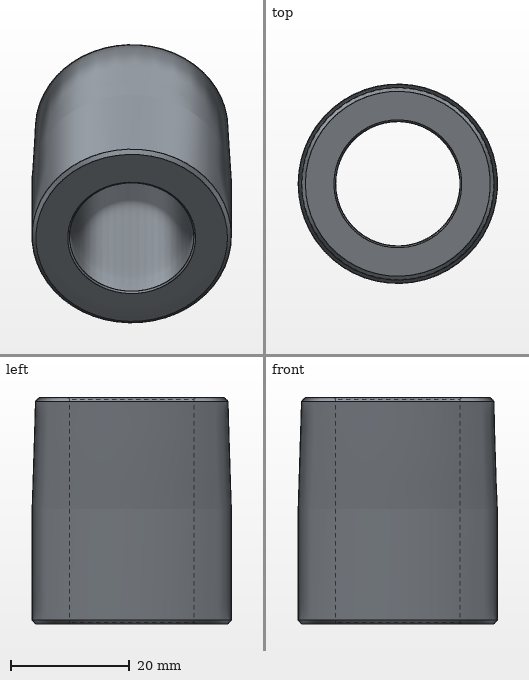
import cadquery as cq

OUTER_DIAMETER = 33.53
BORE_DIAMETER = 20.9
HEIGHT = 38.1
STRAIGHT_HEIGHT = 19.3
TAPER_ON_DIAMETER = 1 / 16
EDGE_CHAMFER = 0.65
BORE_CHAMFER = 0.3

outer_radius = OUTER_DIAMETER / 2
bore_radius = BORE_DIAMETER / 2
bore_mouth_radius = bore_radius + BORE_CHAMFER
taper_end_height = HEIGHT - EDGE_CHAMFER
taper_end_radius = outer_radius - (taper_end_height - STRAIGHT_HEIGHT) * TAPER_ON_DIAMETER / 2


def tapered_sleeve():
    """Revolve the wall section on the -X side about the Z axis."""
    section = (
        cq.Workplane("XZ")
        .moveTo(-bore_radius, BORE_CHAMFER)
        .lineTo(-bore_mouth_radius, 0)
        .lineTo(-(outer_radius - EDGE_CHAMFER), 0)
        .lineTo(-outer_radius, EDGE_CHAMFER)
        .lineTo(-outer_radius, STRAIGHT_HEIGHT)
        .lineTo(-taper_end_radius, taper_end_height)
        .lineTo(-(taper_end_radius - EDGE_CHAMFER), HEIGHT)
        .lineTo(-bore_mouth_radius, HEIGHT)
        .lineTo(-bore_radius, HEIGHT - BORE_CHAMFER)
        .close()
    )
    return section.revolve(360, (0, 0, 0), (0, 1, 0))


result = tapered_sleeve()